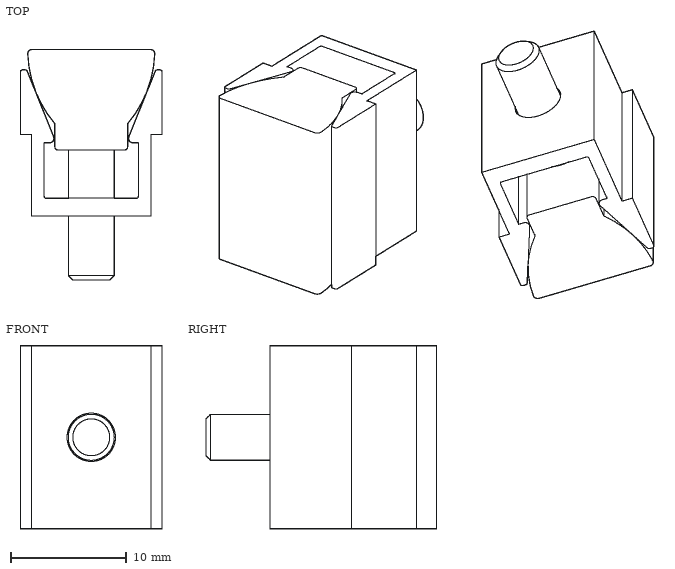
import cadquery as cq
import math

height = 15.9
total_depth = 20.04

screw_diameter = 4.0
screw_tip_chamfer = 0.4
screw_projection = 5.57
screw_clearance = 0.2

wedge_back = total_depth - screw_projection
wedge_front = 5.72
wedge_stem_half_width = 3.17
wedge_back_half_width = 5.53
wedge_flank_radius = 10.0
wedge_back_fillet = 0.4
wedge_front_fillet = 0.3

jaw_half_width = 12.32 / 2
body_half_width = 5.2
cavity_half_width = 4.08
front_wall = 1.55
lip_front = 6.35
shoulder_depth = 7.07
jaw_back = 12.7
jaw_slope = math.radians(22)
jaw_back_fillet = 0.2
lip_fillet = 0.4
cavity_fillet = 0.15

flank_center_x = wedge_back_half_width - wedge_flank_radius


def flank_point(angle):
    """Point on the wedge flank arc, with the angle measured forward from +X."""
    return (
        flank_center_x + wedge_flank_radius * math.cos(angle),
        wedge_back - wedge_flank_radius * math.sin(angle),
    )


def jaw_x(y):
    """Half opening of the jaws at y: a straight face tangent to the wedge flank."""
    contact_x, contact_y = flank_point(jaw_slope)
    return contact_x + (y - contact_y) * math.tan(jaw_slope)


def fillet_upright_edges(body, radius, points):
    """Round the edges parallel to Z at the given points and at their mirror images."""
    for x, y in points:
        for side in (-1, 1):
            nearest = cq.selectors.NearestToPointSelector((side * x, y, 0))
            body = body.edges("|Z").edges(nearest).fillet(radius)
    return body


def make_housing():
    jaw_tip = (jaw_x(jaw_back), jaw_back)
    jaw_outer = (jaw_half_width, jaw_back)
    lip_tip = (jaw_x(lip_front), lip_front)
    cavity_corner = (cavity_half_width, front_wall)
    right_half = [
        (body_half_width, 0),
        (body_half_width, shoulder_depth),
        (jaw_half_width, shoulder_depth),
        jaw_outer,
        jaw_tip,
        lip_tip,
        (cavity_half_width, lip_front),
        cavity_corner,
    ]
    left_half = [(-x, y) for x, y in reversed(right_half)]
    body = cq.Workplane("XY").polyline(right_half + left_half).close().extrude(height / 2, both=True)
    body = fillet_upright_edges(body, lip_fillet, [lip_tip])
    body = fillet_upright_edges(body, jaw_back_fillet, [jaw_tip, jaw_outer])
    body = fillet_upright_edges(body, cavity_fillet, [cavity_corner])
    screw_hole = (
        cq.Workplane("XZ")
        .circle((screw_diameter + screw_clearance) / 2)
        .extrude(-front_wall)
    )
    return body.cut(screw_hole)


def make_wedge():
    flank_end_angle = math.acos((wedge_stem_half_width - flank_center_x) / wedge_flank_radius)
    flank_end_x, flank_end_y = flank_point(flank_end_angle)
    mid_x, mid_y = flank_point(flank_end_angle / 2)
    body = (
        cq.Workplane("XY")
        .moveTo(-wedge_stem_half_width, wedge_front)
        .lineTo(wedge_stem_half_width, wedge_front)
        .lineTo(flank_end_x, flank_end_y)
        .threePointArc((mid_x, mid_y), (wedge_back_half_width, wedge_back))
        .lineTo(-wedge_back_half_width, wedge_back)
        .threePointArc((-mid_x, mid_y), (-flank_end_x, flank_end_y))
        .close()
        .extrude(height / 2, both=True)
    )
    body = fillet_upright_edges(body, wedge_back_fillet, [(wedge_back_half_width, wedge_back)])
    return fillet_upright_edges(body, wedge_front_fillet, [(wedge_stem_half_width, wedge_front)])


def make_screw():
    """Plain shank from the chamfered front tip to the front face of the wedge."""
    return (
        cq.Workplane("XZ", origin=(0, wedge_front, 0))
        .circle(screw_diameter / 2)
        .extrude(wedge_front + screw_projection)
        .faces("<Y")
        .chamfer(screw_tip_chamfer)
    )


housing = make_housing()
wedge = make_wedge()
screw = make_screw()

result = cq.Compound.makeCompound([housing.val(), wedge.val(), screw.val()])